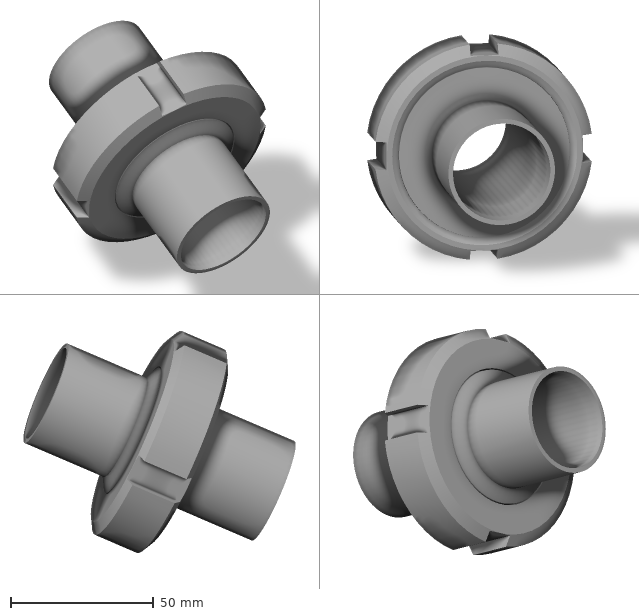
import cadquery as cq
import math

total_length = 88.0
pipe_diameter = 38.1
bore_diameter = 34.8

nut_start = 33.5
nut_width = 21.0
nut_end = nut_start + nut_width
nut_diameter = 78.0
nut_face_diameter = 70.0
nut_bevel_angle = 30.0
nut_bevel_height = (nut_diameter - nut_face_diameter) / 2
nut_bevel_slope = math.tan(math.radians(nut_bevel_angle))
nut_bevel_length = nut_bevel_height * nut_bevel_slope
nut_wall = 5.0
nut_seat = nut_end - nut_wall
nut_bore_diameter = 61.19
nut_mouth_diameter = 66.2
nut_mouth_depth = (nut_mouth_diameter - nut_bore_diameter) / 2 * nut_bevel_slope
nut_hole_diameter = 49.0

slot_count = 4
slot_width = 10.0
slot_floor_radius = 35.05

ferrule_face_inset = 1.0
ferrule_start = nut_start + ferrule_face_inset
ferrule_diameter = 61.0
ferrule_fillet = 2.0
ferrule_gap = 0.5
ferrule_end = nut_seat - ferrule_gap
recess_diameter = 55.0
recess_depth = 4.0

flange_diameter = 54.9
flange_start = ferrule_end - recess_depth
collar_diameter = 48.0
cone_angle = 30.0
cone_length = (collar_diameter - pipe_diameter) / 2 * math.tan(math.radians(cone_angle))


def revolve_about_x(profile):
    """Turn a closed (x, radius) profile into a solid of revolution about X."""
    return profile.close().revolve(360, (0, 0, 0), (1, 0, 0))


def make_nut():
    body = revolve_about_x(
        cq.Workplane("XY")
        .moveTo(nut_start, nut_mouth_diameter / 2)
        .lineTo(nut_start, nut_face_diameter / 2)
        .lineTo(nut_start + nut_bevel_length, nut_diameter / 2)
        .lineTo(nut_end - nut_bevel_length, nut_diameter / 2)
        .lineTo(nut_end, nut_face_diameter / 2)
        .lineTo(nut_end, nut_hole_diameter / 2)
        .lineTo(nut_seat, nut_hole_diameter / 2)
        .lineTo(nut_seat, nut_bore_diameter / 2)
        .lineTo(nut_start + nut_mouth_depth, nut_bore_diameter / 2)
    )
    slot = cq.Workplane("XY").box(nut_width, slot_width, nut_diameter, centered=(False, True, False))
    slot = slot.translate((nut_start, 0, slot_floor_radius))
    for index in range(slot_count):
        body = body.cut(slot.rotate((0, 0, 0), (1, 0, 0), index * 360 / slot_count))
    return body


def make_ferrule():
    fillet_start = (ferrule_start - ferrule_fillet, pipe_diameter / 2)
    fillet_end = (ferrule_start, pipe_diameter / 2 + ferrule_fillet)
    return revolve_about_x(
        cq.Workplane("XY")
        .moveTo(0, bore_diameter / 2)
        .lineTo(0, pipe_diameter / 2)
        .lineTo(*fillet_start)
        .radiusArc(fillet_end, -ferrule_fillet)
        .lineTo(ferrule_start, ferrule_diameter / 2)
        .lineTo(ferrule_end, ferrule_diameter / 2)
        .lineTo(ferrule_end, recess_diameter / 2)
        .lineTo(flange_start, recess_diameter / 2)
        .lineTo(flange_start, bore_diameter / 2)
    )


def make_liner():
    return revolve_about_x(
        cq.Workplane("XY")
        .moveTo(flange_start, bore_diameter / 2)
        .lineTo(flange_start, flange_diameter / 2)
        .lineTo(nut_seat, flange_diameter / 2)
        .lineTo(nut_seat, collar_diameter / 2)
        .lineTo(nut_end, collar_diameter / 2)
        .lineTo(nut_end + cone_length, pipe_diameter / 2)
        .lineTo(total_length, pipe_diameter / 2)
        .lineTo(total_length, bore_diameter / 2)
    )


nut = make_nut()
ferrule = make_ferrule()
liner = make_liner()

result = cq.Compound.makeCompound([nut.val(), ferrule.val(), liner.val()])